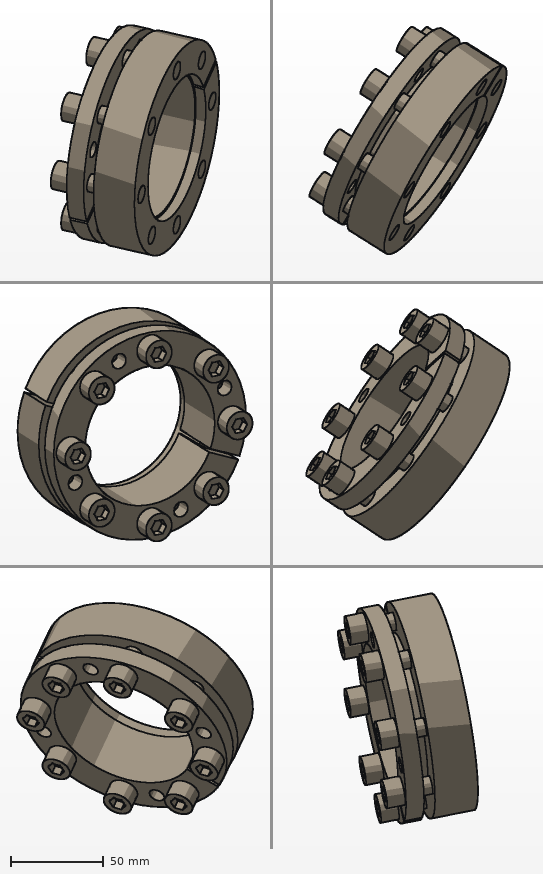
import cadquery as cq
import math


overall_length = 50.0
outer_diameter = 119.9

ring_width = 24.0
flange_gap = 6.0

flange_diameter = 119.0
bore_diameter = 80.0
taper_radius_at_flange = 43.4
taper_angle = math.radians(5)

bolt_circle_diameter = 99.9
screw_count = 8
head_diameter = 16.0
shank_diameter = 10.0
socket_across_flats = 8.0
socket_depth = 5.0
jack_hole_count = 4
jack_hole_diameter = 8.5

slit_width = 2.0
half_pitch_angle = 180 / screw_count
sleeve_slit_angle = 180 + half_pitch_angle
ring_slit_angle = half_pitch_angle

head_length = (overall_length - ring_width - flange_gap) / 2
flange_thickness = head_length
flange_front = head_length
flange_back = flange_front + flange_thickness
ring_front = flange_back + flange_gap
ring_back = ring_front + ring_width
sleeve_back = ring_back - flange_gap


def taper_radius(x):
    """Radius of the shared taper at position x."""
    return taper_radius_at_flange - (x - flange_back) * math.tan(taper_angle)


def revolve_about_x(profile_points):
    """Revolve a closed (x, radius) profile about the X axis."""
    return cq.Workplane("XY").polyline(profile_points).close().revolve(360, (0, 0, 0), (1, 0, 0))


def cylinders(x_start, x_end, diameter, points):
    """Cylinders along X, one at each (y, z) point."""
    plane = cq.Workplane("YZ", origin=(x_start, 0, 0))
    return plane.pushPoints(points).circle(diameter / 2).extrude(x_end - x_start)


def bolt_circle_points(count, start_angle):
    """Evenly spaced (y, z) points on the bolt circle; angles run from +Y toward +Z."""
    angles = [math.radians(start_angle + i * 360 / count) for i in range(count)]
    radius = bolt_circle_diameter / 2
    return [(radius * math.cos(a), radius * math.sin(a)) for a in angles]


def radial_slit(angle):
    """Cutter for a slit running outward from the axis, at an angle from +Y toward +Z."""
    slit = cq.Workplane("XY").box(
        overall_length, outer_diameter, slit_width, centered=(False, False, True)
    )
    return slit.rotate((0, 0, 0), (1, 0, 0), angle)


screw_points = bolt_circle_points(screw_count, 0)
jack_hole_points = bolt_circle_points(jack_hole_count, -half_pitch_angle)


def make_sleeve():
    """Flange and taper sleeve with a straight bore, screw holes, jacking holes and a slit."""
    bore_radius = bore_diameter / 2
    flange_radius = flange_diameter / 2
    body = revolve_about_x([
        (flange_front, bore_radius),
        (flange_front, flange_radius),
        (flange_back, flange_radius),
        (flange_back, taper_radius_at_flange),
        (sleeve_back, taper_radius(sleeve_back)),
        (sleeve_back, bore_radius),
    ])
    body = body.cut(cylinders(flange_front, flange_back, shank_diameter, screw_points))
    body = body.cut(cylinders(flange_front, flange_back, jack_hole_diameter, jack_hole_points))
    return body.cut(radial_slit(sleeve_slit_angle))


def make_ring():
    """Outer ring with a taper bore, screw holes and a slit."""
    ring_radius = outer_diameter / 2
    body = revolve_about_x([
        (ring_front, taper_radius(ring_front)),
        (ring_front, ring_radius),
        (ring_back, ring_radius),
        (ring_back, taper_radius(ring_back)),
    ])
    body = body.cut(cylinders(ring_front, ring_back, shank_diameter, screw_points))
    return body.cut(radial_slit(ring_slit_angle))


def make_screw(point):
    """Socket head screw at a (y, z) point, with its shank ending level with the ring's back."""
    head = cylinders(0, head_length, head_diameter, [point])
    shank = cylinders(head_length, ring_back, shank_diameter, [point])
    socket_across_corners = socket_across_flats / math.cos(math.pi / 6)
    socket = cq.Workplane("YZ").center(*point).polygon(6, socket_across_corners).extrude(socket_depth)
    return head.union(shank).cut(socket)


sleeve = make_sleeve()
ring = make_ring()
screws = [make_screw(point) for point in screw_points]

result = cq.Compound.makeCompound([sleeve.val(), ring.val(), *[screw.val() for screw in screws]])